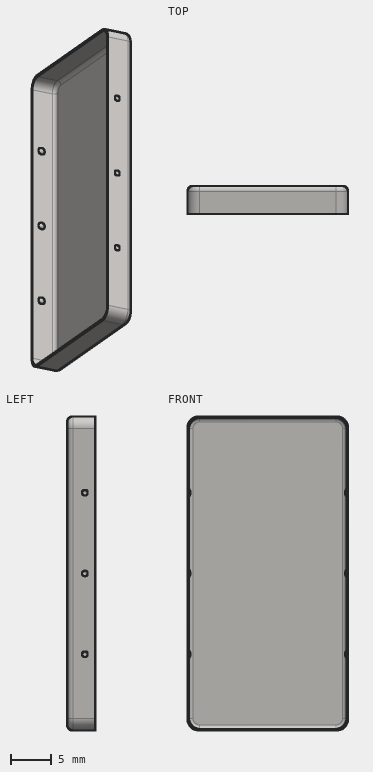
import cadquery as cq
import math

WIDTH = 19.9
DEPTH = 3.5
HEIGHT = 38.9

WALL = 0.2
CORNER_RADIUS = 1.5
FLOOR_EDGE_RADIUS = 0.7

DIMPLE_DIAMETER = 0.7
DETENT_DEPTH = 0.18
DETENT_SPACING = 10.0
DETENT_COUNT = 3
DETENT_FROM_RIM = 1.3

RIM_Y = -DEPTH / 2
DETENT_Y = RIM_Y + DETENT_FROM_RIM
OUTER_FACE_X = WIDTH / 2
INNER_FACE_X = OUTER_FACE_X - WALL

DIMPLE_RADIUS = ((DIMPLE_DIAMETER / 2) ** 2 + DETENT_DEPTH ** 2) / (2 * DETENT_DEPTH)
BUMP_RADIUS = DIMPLE_RADIUS + WALL
CAP_CENTER_X = OUTER_FACE_X - DETENT_DEPTH + DIMPLE_RADIUS


def rounded_block(inset):
    """Block from the rim to the floor, inset from the outer skin on all sides but the rim."""
    return (
        cq.Workplane("XZ", origin=(0, RIM_Y, 0))
        .rect(WIDTH - 2 * inset, HEIGHT - 2 * inset)
        .extrude(-(DEPTH - inset))
        .edges("|Y")
        .fillet(CORNER_RADIUS - inset)
        .faces(">Y")
        .edges()
        .fillet(FLOOR_EDGE_RADIUS - inset)
    )


def detent_cap(wall_face_x, sphere_radius, z):
    """Spherical cap based on the +X wall's face at wall_face_x and domed toward the inside."""
    half_angle = math.acos((CAP_CENTER_X - wall_face_x) / sphere_radius)

    def arc_point(angle):
        return (CAP_CENTER_X - sphere_radius * math.cos(angle), sphere_radius * math.sin(angle))

    return (
        cq.Workplane("XY", origin=(0, DETENT_Y, z))
        .moveTo(*arc_point(0))
        .threePointArc(arc_point(half_angle / 2), arc_point(half_angle))
        .lineTo(wall_face_x, 0)
        .close()
        .revolve(360, (0, 0, 0), (1, 0, 0))
    )


def add_detent_pair(tray, z):
    """Raise bumps inside both long walls at height z and sink dimples behind them."""
    bump = detent_cap(INNER_FACE_X, BUMP_RADIUS, z)
    dimple = detent_cap(OUTER_FACE_X, DIMPLE_RADIUS, z)
    tray = tray.union(bump).union(bump.mirror("YZ"))
    return tray.cut(dimple).cut(dimple.mirror("YZ"))


result = rounded_block(0).cut(rounded_block(WALL))
for index in range(DETENT_COUNT):
    detent_z = (index - (DETENT_COUNT - 1) / 2) * DETENT_SPACING
    result = add_detent_pair(result, detent_z)